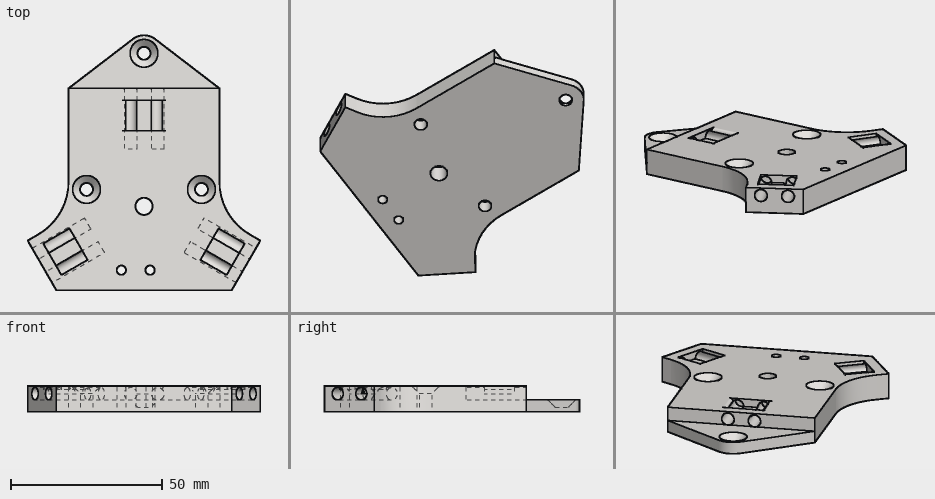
import cadquery as cq
import math

THICKNESS = 8.6
BODY_HALF_WIDTH = 25.0
FACE_RADIUS = 39.0
ARM_HALF_WIDTH = 9.46
ARM_SLOPE = math.radians(30)
TAB_SIDE_ANGLE = 90
ARM_ANGLES = (210, 330)
CORNER_RADIUS = 20.0
BOTTOM_Y = -27.79

TAB_THICKNESS = 4.0
TAB_TIP_RADIUS = 6.0

MOUNT_SPACING_Y = 45.0
MOUNT_LOWER_Y = 5.6
MOUNT_HALF_SPACING_X = 19.0
MOUNT_DIAMETER = 4.2
COUNTERSINK_DIAMETER = 9.2
COUNTERSINK_ANGLE = 90

CENTER_HOLE_DIAMETER = 5.6
SMALL_HOLE_DIAMETER = 3.0
SMALL_HOLE_Y = -21.1
SMALL_HOLE_XS = (-7.5, 2.0)

POCKET_RADIUS = 30.0
POCKET_LENGTH = 10.0
POCKET_WIDTH = 12.0
PIN_DIAMETER = 4.2
PIN_SPACING = 9.0
PIN_HEIGHT = 6.0
POCKET_FLOOR = PIN_HEIGHT
PIN_BORE_DEPTH = 20.0
LIP_RADIUS = 1.1

slope_sin = math.sin(ARM_SLOPE)
slope_cos = math.cos(ARM_SLOPE)

tab_hole_y = MOUNT_LOWER_Y + MOUNT_SPACING_Y


def make_body():
    """Main plate: rectangular upper part flaring into two arms."""
    arm_x = FACE_RADIUS * slope_cos + ARM_HALF_WIDTH * slope_sin
    arm_y = -FACE_RADIUS * slope_sin + ARM_HALF_WIDTH * slope_cos
    inner_y = arm_y + (arm_x - BODY_HALF_WIDTH) * math.tan(ARM_SLOPE)
    bottom_x = (FACE_RADIUS + BOTTOM_Y * slope_sin) / slope_cos
    right_half = [
        (bottom_x, BOTTOM_Y),
        (arm_x, arm_y),
        (BODY_HALF_WIDTH, inner_y),
        (BODY_HALF_WIDTH, FACE_RADIUS),
    ]
    left_half = [(-x, y) for x, y in reversed(right_half)]
    body = cq.Workplane("XY").polyline(right_half + left_half).close().extrude(THICKNESS)
    margin = 1.0
    inner_corners = cq.selectors.BoxSelector(
        (-BODY_HALF_WIDTH - margin, inner_y - margin, 0),
        (BODY_HALF_WIDTH + margin, inner_y + margin, THICKNESS),
    )
    return body.edges("|Z").edges(inner_corners).fillet(CORNER_RADIUS)


def make_tab():
    """Thin triangular tab with straight sides tangent to its rounded tip."""
    reach = math.hypot(BODY_HALF_WIDTH, tab_hole_y - FACE_RADIUS)
    corner_bearing = math.atan2(FACE_RADIUS - tab_hole_y, BODY_HALF_WIDTH)
    tangent_angle = corner_bearing + math.acos(TAB_TIP_RADIUS / reach)
    tangent_x = TAB_TIP_RADIUS * math.cos(tangent_angle)
    tangent_y = tab_hole_y + TAB_TIP_RADIUS * math.sin(tangent_angle)
    return (
        cq.Workplane("XY")
        .moveTo(-BODY_HALF_WIDTH, FACE_RADIUS)
        .lineTo(BODY_HALF_WIDTH, FACE_RADIUS)
        .lineTo(tangent_x, tangent_y)
        .threePointArc((0, tab_hole_y + TAB_TIP_RADIUS), (-tangent_x, tangent_y))
        .close()
        .extrude(TAB_THICKNESS)
    )


def cut_countersunk_holes(part, points, top_z):
    """Countersunk through holes sunk from the given height."""
    return (
        part.copyWorkplane(cq.Workplane("XY", origin=(0, 0, top_z)))
        .pushPoints(points)
        .cskHole(MOUNT_DIAMETER, COUNTERSINK_DIAMETER, COUNTERSINK_ANGLE)
    )


def cut_through_holes(part, points, diameter):
    """Plain round holes through the full plate."""
    holes = cq.Workplane("XY").pushPoints(points).circle(diameter / 2).extrude(THICKNESS)
    return part.cut(holes)


def make_pocket():
    """Cutting tool for a rectangular pocket open at the top."""
    return (
        cq.Workplane("XY", origin=(POCKET_RADIUS, 0, POCKET_FLOOR))
        .rect(POCKET_LENGTH, POCKET_WIDTH)
        .extrude(THICKNESS - POCKET_FLOOR)
    )


def make_rounded_pocket():
    """Pocket tool whose two long sides flare out over convex rounded lips."""
    half_width = POCKET_WIDTH / 2
    lip_start_z = THICKNESS - LIP_RADIUS
    lip_offset = LIP_RADIUS * math.sqrt(0.5)
    lip_middle = (half_width + LIP_RADIUS - lip_offset, lip_start_z + lip_offset)
    return (
        cq.Workplane("YZ", origin=(POCKET_RADIUS - POCKET_LENGTH / 2, 0, 0))
        .moveTo(-half_width, POCKET_FLOOR)
        .lineTo(half_width, POCKET_FLOOR)
        .lineTo(half_width, lip_start_z)
        .threePointArc(lip_middle, (half_width + LIP_RADIUS, THICKNESS))
        .lineTo(-half_width - LIP_RADIUS, THICKNESS)
        .threePointArc((-lip_middle[0], lip_middle[1]), (-half_width, lip_start_z))
        .close()
        .extrude(POCKET_LENGTH)
    )


def cut_pin_seat(part, pocket, angle):
    """Cut a pocket and the two pin bores that run through it from the end face."""
    bores = (
        cq.Workplane("YZ", origin=(FACE_RADIUS, 0, PIN_HEIGHT))
        .pushPoints([(-PIN_SPACING / 2, 0), (PIN_SPACING / 2, 0)])
        .circle(PIN_DIAMETER / 2)
        .extrude(-PIN_BORE_DEPTH)
    )
    return part.cut(pocket.union(bores).rotate((0, 0, 0), (0, 0, 1), angle))


result = make_body().union(make_tab())
result = cut_countersunk_holes(
    result,
    [(-MOUNT_HALF_SPACING_X, MOUNT_LOWER_Y), (MOUNT_HALF_SPACING_X, MOUNT_LOWER_Y)],
    THICKNESS,
)
result = cut_countersunk_holes(result, [(0, tab_hole_y)], TAB_THICKNESS)
result = cut_through_holes(result, [(0, 0)], CENTER_HOLE_DIAMETER)
result = cut_through_holes(result, [(x, SMALL_HOLE_Y) for x in SMALL_HOLE_XS], SMALL_HOLE_DIAMETER)
result = cut_pin_seat(result, make_rounded_pocket(), TAB_SIDE_ANGLE)
for arm_angle in ARM_ANGLES:
    result = cut_pin_seat(result, make_pocket(), arm_angle)